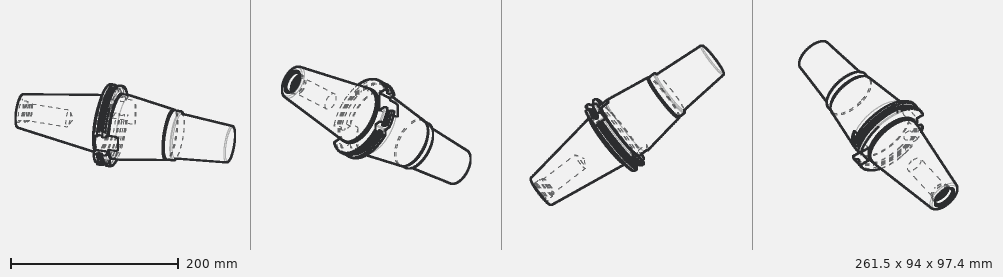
import cadquery as cq
import math

length = 261.5

gauge_x = 101.8
gauge_radius = 35.0
taper_ratio = 7 / 24
taper_end_x = 101.2
relief_radius = 34.3
relief_start_x = 101.8
relief_end_x = 103.0
collar_x = 103.9
collar_radius = 35.0

flange_x = 105.0
flange_width = 16.0
flange_radius = 48.7
groove_center = 8.0
groove_floor_radius = 45.5
groove_floor_width = 3.1
groove_half_angle = 30
groove_floor_round = 0.5

body_radius = 39.0
body_cone_x = 130.5
body_cone_end_x = 186.3
body_cone_end_radius = 30.5
neck_radius = 29.8
neck_x = 187.8
neck_end_x = 196.0
nose_radius = 27.2
nose_angle = 4.5

small_end_round = 2.0
nose_round = 1.5
flange_front_round = 1.0
flange_back_round = 1.5
flange_root_round = 0.8
neck_round = 0.8
nose_root_round = 1.5

slot_width = 25.6
slot_front_floor_y = 37.7
slot_back_floor_y = 35.0
slot_end_x = 133.2

notch_y = 29.5
notch_z = 29.8
notch_corner_round = 1.0

bore_mouth_radius = 14.5
bore_lead_radius = 13.5
bore_lead_depth = 0.5
bore_radius = 12.5
bore_start = 1.8
bore_depth = 8.5
relief_bore_radius = 11.5
relief_bore_depth = 11.5
thread_radius = 10.2
thread_depth = 60.2
drill_tip_angle = 118

small_end_radius = gauge_radius - gauge_x * taper_ratio / 2
flange_end_x = flange_x + flange_width
taper_end_radius = gauge_radius - (gauge_x - taper_end_x) * taper_ratio / 2
nose_end_radius = nose_radius - (length - neck_end_x) * math.tan(math.radians(nose_angle))
groove_depth = flange_radius - groove_floor_radius
groove_x = flange_x + groove_center
groove_floor_half = groove_floor_width / 2
groove_top_half = groove_floor_half + groove_depth * math.tan(math.radians(groove_half_angle))


def revolve_about_x(points):
    """Turn a closed outline of (x, radius) points about the X axis."""
    return cq.Workplane("XY").polyline(points).close().revolve(360, (0, 0), (1, 0))


def round_circle(solid, x, radius, round_radius):
    """Round the circular edge of the given radius that lies at x."""
    tolerance = 0.003

    def is_wanted(edge):
        if edge.geomType() != "CIRCLE":
            return False
        return abs(edge.Center().x - x) < tolerance and abs(edge.radius() - radius) < tolerance

    return solid.newObject([e for e in solid.edges().vals() if is_wanted(e)]).fillet(round_radius)


def turned_body():
    """Taper, flange, body, neck and nose as one turned solid."""
    body = revolve_about_x([
        (0, 0),
        (0, small_end_radius),
        (taper_end_x, taper_end_radius),
        (relief_start_x, relief_radius),
        (relief_end_x, relief_radius),
        (collar_x, collar_radius),
        (flange_x, collar_radius),
        (flange_x, flange_radius),
        (groove_x - groove_top_half, flange_radius),
        (groove_x - groove_floor_half, groove_floor_radius),
        (groove_x + groove_floor_half, groove_floor_radius),
        (groove_x + groove_top_half, flange_radius),
        (flange_end_x, flange_radius),
        (flange_end_x, body_radius),
        (body_cone_x, body_radius),
        (body_cone_end_x, body_cone_end_radius),
        (neck_x, neck_radius),
        (neck_end_x, neck_radius),
        (neck_end_x, nose_radius),
        (length, nose_end_radius),
        (length, 0),
    ])
    body = round_circle(body, 0, small_end_radius, small_end_round)
    body = round_circle(body, flange_x, flange_radius, flange_front_round)
    body = round_circle(body, flange_end_x, flange_radius, flange_back_round)
    body = round_circle(body, flange_end_x, body_radius, flange_root_round)
    for floor_edge_x in (groove_x - groove_floor_half, groove_x + groove_floor_half):
        body = round_circle(body, floor_edge_x, groove_floor_radius, groove_floor_round)
    body = round_circle(body, neck_end_x, neck_radius, neck_round)
    body = round_circle(body, neck_end_x, nose_radius, nose_root_round)
    return round_circle(body, length, nose_end_radius, nose_round)


def drive_slot(side, floor_y):
    """Cutter for a slot through the flange on the +Y (side = 1) or -Y (side = -1) face.

    Behind the flange the floor carries on as a flat over the full width of the body.
    """
    depth = flange_radius - floor_y
    center_y = side * (floor_y + depth / 2)
    flat_length = slot_end_x - flange_end_x
    slot = cq.Workplane("XY").box(flange_width, depth, slot_width)
    flat = cq.Workplane("XY").box(flat_length, depth, 2 * body_radius)
    slot = slot.translate((flange_x + flange_width / 2, center_y, 0))
    return slot.union(flat.translate((flange_end_x + flat_length / 2, center_y, 0)))


def orientation_notch():
    """Cutter for the rounded corner notch on the -Y, -Z part of the rim."""
    cutter = cq.Workplane("XY").box(
        flange_width, flange_radius - notch_y, flange_radius - notch_z, centered=False
    )
    cutter = cutter.edges("|X and >Y and >Z").fillet(notch_corner_round)
    return cutter.translate((flange_x, -flange_radius, -flange_radius))


def retention_bore():
    """Cutter for the stepped pilot bore, thread core and drill point."""
    relief_start = bore_depth + bore_radius - relief_bore_radius
    thread_start = relief_bore_depth + relief_bore_radius - thread_radius
    tip_length = thread_radius / math.tan(math.radians(drill_tip_angle / 2))
    return revolve_about_x([
        (0, 0),
        (0, bore_mouth_radius),
        (bore_lead_depth, bore_lead_radius),
        (bore_start, bore_radius),
        (bore_depth, bore_radius),
        (relief_start, relief_bore_radius),
        (relief_bore_depth, relief_bore_radius),
        (thread_start, thread_radius),
        (thread_depth, thread_radius),
        (thread_depth + tip_length, 0),
    ])


result = (
    turned_body()
    .cut(drive_slot(-1, slot_front_floor_y))
    .cut(drive_slot(1, slot_back_floor_y))
    .cut(orientation_notch())
    .cut(retention_bore())
)